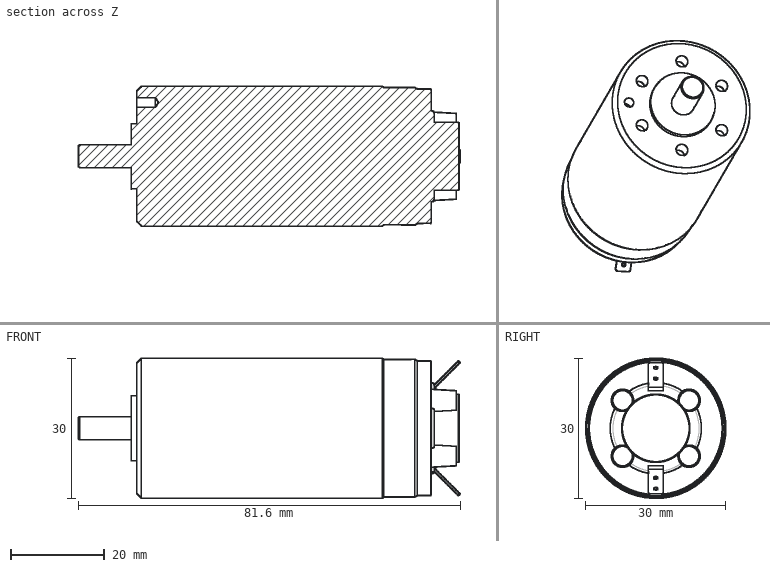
import cadquery as cq
import math

SHAFT_TIP = -12.45
PILOT_FACE = -1.2
HOUSING_END = 52.75
RING_TAPER_START = 59.4
RING_END = 60.0
CAP_END = 63.0
PLATE_END = 63.6
BOSS_END = 68.3
HUB_END = 68.9
TERMINAL_TIP = 69.15

SHAFT_RADIUS = 2.5
SHAFT_CHAMFER = 0.25
PILOT_RADIUS = 7.0
HOUSING_RADIUS = 15.0
HOUSING_FRONT_CHAMFER = 1.0
HOUSING_REAR_CHAMFER = 0.25
RING_RADIUS = 14.75
CAP_RADIUS = 14.4
CAP_CHAMFER = 0.2
PLATE_RADIUS = 9.75
PLATE_FILLET = 0.55
HUB_RADIUS = 7.3
HUB_CHAMFER = 0.15

SCREW_COUNT = 6
SCREW_CIRCLE_RADIUS = 10.0
SCREW_HOLE_RADIUS = 1.25
PIN_HOLE_OFFSET = 11.5
PIN_HOLE_RADIUS = 1.0
HOLE_DEPTH = 4.0
DRILL_HALF_ANGLE = math.radians(59)

BOSS_Y = 7.1
BOSS_Z = 5.95
BOSS_BASE_RADIUS = 2.4
BOSS_TIP_RADIUS = 2.1

TERMINAL_WIDTH = 3.2
TERMINAL_THICKNESS = 0.55
TERMINAL_TIP_Z = 14.05
TERMINAL_STUB_END = 63.9
TERMINAL_STUB_BOTTOM_Z = 8.0
TERMINAL_CORNER = 0.3
TERMINAL_HOLE_RADIUS = 0.4
TERMINAL_HOLE_DISTANCES = (1.6, 4.9)


def turned_section(x_start, x_end, radius, front_chamfer=0.0, rear_chamfer=0.0):
    """Cylinder on the X axis with optional chamfers at its two ends."""
    section = cq.Workplane("YZ", origin=(x_start, 0, 0)).circle(radius).extrude(x_end - x_start)
    if front_chamfer:
        section = section.faces("<X").chamfer(front_chamfer)
    if rear_chamfer:
        section = section.faces(">X").chamfer(rear_chamfer)
    return section


def tapered_section(x_start, x_end, start_radius, end_radius, y=0.0, z=0.0):
    """Truncated cone running along X, centred on the given Y and Z."""
    base_centre = cq.Vector(x_start, y, z)
    cone = cq.Solid.makeCone(start_radius, end_radius, x_end - x_start, base_centre, cq.Vector(1, 0, 0))
    return cq.Workplane(obj=cone)


def motor_body():
    """All coaxial sections, from the shaft tip to the rear hub."""
    body = turned_section(0, HOUSING_END, HOUSING_RADIUS, HOUSING_FRONT_CHAMFER, HOUSING_REAR_CHAMFER)
    body = body.union(turned_section(SHAFT_TIP, 0, SHAFT_RADIUS, front_chamfer=SHAFT_CHAMFER))
    body = body.union(turned_section(PILOT_FACE, 0, PILOT_RADIUS))
    body = body.union(turned_section(HOUSING_END, RING_TAPER_START, RING_RADIUS))
    body = body.union(tapered_section(RING_TAPER_START, RING_END, RING_RADIUS, CAP_RADIUS))
    body = body.union(turned_section(RING_END, CAP_END, CAP_RADIUS, rear_chamfer=CAP_CHAMFER))
    plate = turned_section(CAP_END, PLATE_END, PLATE_RADIUS).faces(">X").edges().fillet(PLATE_FILLET)
    body = body.union(plate)
    return body.union(turned_section(PLATE_END, HUB_END, HUB_RADIUS, rear_chamfer=HUB_CHAMFER))


def drilled_hole(y, z, radius):
    """Blind hole from the mounting face, ending in a drill point."""
    point_depth = radius / math.tan(DRILL_HALF_ANGLE)
    profile = [(0, 0), (0, radius), (HOLE_DEPTH, radius), (HOLE_DEPTH + point_depth, 0)]
    hole = cq.Workplane("XY").polyline(profile).close().revolve(360, (0, 0, 0), (1, 0, 0))
    return hole.translate((0, y, z))


def mounting_holes():
    """Ring of screw holes plus one locating hole on the +Y side."""
    holes = drilled_hole(PIN_HOLE_OFFSET, 0, PIN_HOLE_RADIUS)
    for index in range(SCREW_COUNT):
        angle = math.pi / 2 + 2 * math.pi * index / SCREW_COUNT
        y = SCREW_CIRCLE_RADIUS * math.cos(angle)
        z = SCREW_CIRCLE_RADIUS * math.sin(angle)
        holes = holes.union(drilled_hole(y, z, SCREW_HOLE_RADIUS))
    return holes


def rear_boss(y, z):
    """Boss on the end cap, tapering toward its free end."""
    return tapered_section(CAP_END, BOSS_END, BOSS_BASE_RADIUS, BOSS_TIP_RADIUS, y, z)


def upper_terminal():
    """Flat lug on the +Z side: a 45 degree blade with two holes, rooted on a short stub."""
    diagonal = math.sqrt(0.5)
    root_z = TERMINAL_TIP_Z - (TERMINAL_TIP - CAP_END)
    blade_length = (TERMINAL_TIP - CAP_END) / diagonal

    blade_plane = cq.Plane(
        origin=(CAP_END, 0, root_z),
        xDir=(diagonal, 0, diagonal),
        normal=(-diagonal, 0, diagonal),
    )
    blade = (
        cq.Workplane(blade_plane)
        .rect(2 * blade_length, TERMINAL_WIDTH)
        .extrude(TERMINAL_THICKNESS)
        .edges("|(-1,0,1)")
        .edges(">X")
        .chamfer(TERMINAL_CORNER)
    )
    hole_points = [(blade_length - distance, 0) for distance in TERMINAL_HOLE_DISTANCES]
    holes = (
        cq.Workplane(blade_plane)
        .pushPoints(hole_points)
        .circle(TERMINAL_HOLE_RADIUS)
        .extrude(TERMINAL_THICKNESS)
    )
    ahead_of_cap_end = cq.Workplane("XY").box(
        CAP_END, 2 * HOUSING_RADIUS, 2 * HOUSING_RADIUS, centered=(False, True, True)
    )
    blade = blade.cut(holes).cut(ahead_of_cap_end)

    stub_length = TERMINAL_STUB_END - CAP_END
    stub_top_z = root_z + stub_length
    stub = cq.Workplane("XY", origin=(CAP_END, 0, TERMINAL_STUB_BOTTOM_Z)).box(
        stub_length,
        TERMINAL_WIDTH,
        stub_top_z - TERMINAL_STUB_BOTTOM_Z,
        centered=(False, True, False),
    )
    return stub.union(blade)


result = motor_body().cut(mounting_holes())
for y_side in (1, -1):
    for z_side in (1, -1):
        result = result.union(rear_boss(y_side * BOSS_Y, z_side * BOSS_Z))

terminal = upper_terminal()
result = result.union(terminal).union(terminal.mirror("XY"))